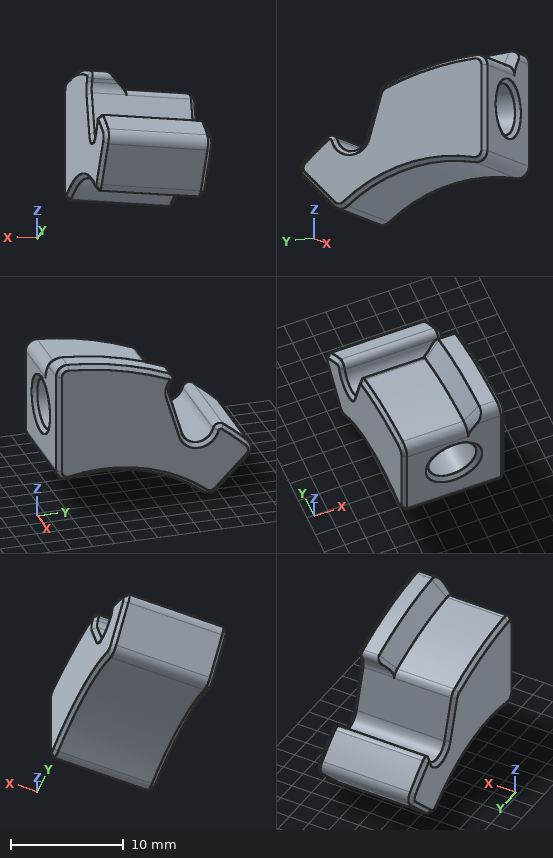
import cadquery as cq
import math


width = 9.75
edge_chamfer = 0.4
corner_radius = 1.0
lip_tip_radius = 0.5
hook_tip_radius = 0.6

top_centre = (-0.69, -14.47)
rib_radius = 28.93
step_height = 1.5
hook_drop = 2.37
seat_radius = rib_radius - step_height
hook_radius = rib_radius - hook_drop

bottom_centre = (4.2, -11.43)
bottom_radius = 14.98

hook_end_y = 14.62
hook_end_slope = math.radians(45)

groove_centre = (13.12, 6.62)
groove_radius = 1.5
wall_lean = math.radians(16.8)

lip_start_z = 10.73
lip_lean = math.radians(31)
lip_blend_radius = 1.18

slope_start_x = 6.22
slope_end_x = slope_start_x + step_height

hole_x = width / 2
hole_z = 8.68
bore_diameter = 4.6
bore_depth = 5.97
mouth_chamfer = 0.4
cone_large_diameter = 3.55
cone_small_diameter = 2.28
cone_depth = (cone_large_diameter - cone_small_diameter) / 2

clearance = 1.8


def along(point, direction, distance):
    """Point reached from a start point along a unit direction."""
    return (point[0] + direction[0] * distance, point[1] + direction[1] * distance)


def midpoint_on_arc(centre, radius, start, end):
    """Middle of the shorter arc between two points of a circle."""
    dy = (start[0] + end[0]) / 2 - centre[0]
    dz = (start[1] + end[1]) / 2 - centre[1]
    span = math.hypot(dy, dz)
    return along(centre, (dy / span, dz / span), radius)


def line_meets_circle(point, direction, centre, radius):
    """Farther crossing of a line, followed along its unit direction, with a circle."""
    offset = (point[0] - centre[0], point[1] - centre[1])
    half_b = offset[0] * direction[0] + offset[1] * direction[1]
    gap = offset[0] ** 2 + offset[1] ** 2 - radius**2
    return along(point, direction, -half_b + math.sqrt(half_b**2 - gap))


def circles_meet(centre_a, radius_a, centre_b, radius_b):
    """Crossing of two circles on the left of the direction from centre a to centre b."""
    dy = centre_b[0] - centre_a[0]
    dz = centre_b[1] - centre_a[1]
    span = math.hypot(dy, dz)
    reach = (radius_a**2 - radius_b**2 + span**2) / (2 * span)
    rise = math.sqrt(radius_a**2 - reach**2)
    foot = along(centre_a, (dy / span, dz / span), reach)
    return along(foot, (-dz / span, dy / span), rise)


def radial(point):
    """Unit direction from the centre of the top arcs to a point."""
    dy = point[0] - top_centre[0]
    dz = point[1] - top_centre[1]
    span = math.hypot(dy, dz)
    return (dy / span, dz / span)


up = (0, 1)
wall_up = (-math.sin(wall_lean), math.cos(wall_lean))
wall_out = (math.cos(wall_lean), math.sin(wall_lean))
lip_up = (math.sin(lip_lean), math.cos(lip_lean))
hook_end_up = (math.cos(hook_end_slope), math.sin(hook_end_slope))

front_bottom = line_meets_circle((0, 0), up, bottom_centre, bottom_radius)
front_top = line_meets_circle((0, 0), up, top_centre, rib_radius)
wall_foot = along(groove_centre, wall_out, -groove_radius)
lip_root = along(wall_foot, wall_up, (lip_start_z - wall_foot[1]) / wall_up[1])
lip_tip = line_meets_circle(lip_root, lip_up, top_centre, rib_radius)
hook_tip = circles_meet(groove_centre, groove_radius, top_centre, hook_radius)
hook_back = line_meets_circle((hook_end_y, 0), hook_end_up, top_centre, hook_radius)
hook_bottom = line_meets_circle((hook_end_y, 0), hook_end_up, bottom_centre, bottom_radius)
groove_bottom = along(groove_centre, up, -groove_radius)


def make_block():
    """Full-height body with the rib outline across the whole width."""
    block = (
        cq.Workplane("YZ")
        .moveTo(*front_bottom)
        .lineTo(*front_top)
        .threePointArc(midpoint_on_arc(top_centre, rib_radius, front_top, lip_tip), lip_tip)
        .lineTo(*lip_root)
        .lineTo(*wall_foot)
        .threePointArc(groove_bottom, hook_tip)
        .threePointArc(midpoint_on_arc(top_centre, hook_radius, hook_tip, hook_back), hook_back)
        .lineTo(*hook_bottom)
        .threePointArc(
            midpoint_on_arc(bottom_centre, bottom_radius, hook_bottom, front_bottom), front_bottom
        )
        .close()
        .extrude(width)
    )
    rounded_corners = [
        (lip_root, lip_blend_radius),
        (lip_tip, lip_tip_radius),
        (hook_tip, hook_tip_radius),
        (front_bottom, corner_radius),
        (front_top, corner_radius),
        (hook_back, corner_radius),
        (hook_bottom, corner_radius),
    ]
    for corner, radius in rounded_corners:
        edge_middle = (width / 2, corner[0], corner[1])
        block = block.edges(cq.selectors.NearestToPointSelector(edge_middle)).fillet(radius)
    return block


inner_radius = seat_radius - corner_radius
front_round = line_meets_circle((corner_radius, 0), up, top_centre, inner_radius)
rear_round = line_meets_circle(
    along(wall_foot, wall_out, -corner_radius), wall_up, top_centre, inner_radius
)
seat_floor_z = rear_round[1] + corner_radius * wall_out[1]


def seat_outline(x, growth):
    """Outline kept under the seat, grown outward evenly by the given amount."""
    rounding = corner_radius + growth
    radius = seat_radius + growth
    front_start = along(front_round, (-1, 0), rounding)
    front_end = along(top_centre, radial(front_round), radius)
    rear_start = along(top_centre, radial(rear_round), radius)
    rear_end = along(rear_round, wall_out, rounding)
    base_length = front_round[1]
    wall_base = along(rear_end, wall_up, -base_length)
    front_base = (front_start[0], wall_base[1])
    return (
        cq.Workplane("YZ", origin=(x, 0, 0))
        .moveTo(*front_base)
        .lineTo(*front_start)
        .threePointArc(midpoint_on_arc(front_round, rounding, front_start, front_end), front_end)
        .threePointArc(midpoint_on_arc(top_centre, radius, front_end, rear_start), rear_start)
        .threePointArc(midpoint_on_arc(rear_round, rounding, rear_start, rear_end), rear_end)
        .lineTo(*wall_base)
        .close()
    )


def make_seat_cutter():
    """Material above the lower seat, up to the 45 degree slope of the rib."""
    level = seat_outline(0, 0).extrude(slope_start_x)
    slope_start = seat_outline(slope_start_x, 0).wire().val()
    slope_end = seat_outline(slope_end_x, step_height).wire().val()
    slope = cq.Workplane(cq.Solid.makeLoft([slope_start, slope_end], True))

    cutter_length = lip_tip[0] + 2 * clearance
    cutter_height = rib_radius + top_centre[1] + clearance - seat_floor_z
    cutter = (
        cq.Workplane("XY", origin=(0, -clearance, seat_floor_z))
        .box(slope_end_x, cutter_length, cutter_height, centered=False)
    )
    return cutter.cut(level).cut(slope)


def make_hole():
    """Bore with a chamfered mouth and a conical pocket in its floor."""
    bore_radius = bore_diameter / 2
    return (
        cq.Workplane("XY")
        .lineTo(bore_radius + mouth_chamfer, 0)
        .lineTo(bore_radius, mouth_chamfer)
        .lineTo(bore_radius, bore_depth)
        .lineTo(cone_large_diameter / 2, bore_depth)
        .lineTo(cone_small_diameter / 2, bore_depth + cone_depth)
        .lineTo(0, bore_depth + cone_depth)
        .close()
        .revolve(360, (0, 0, 0), (0, 1, 0))
        .translate((hole_x, 0, hole_z))
    )


body = make_block().cut(make_seat_cutter())
body = body.faces("<X or >X").edges().chamfer(edge_chamfer)
result = body.cut(make_hole())